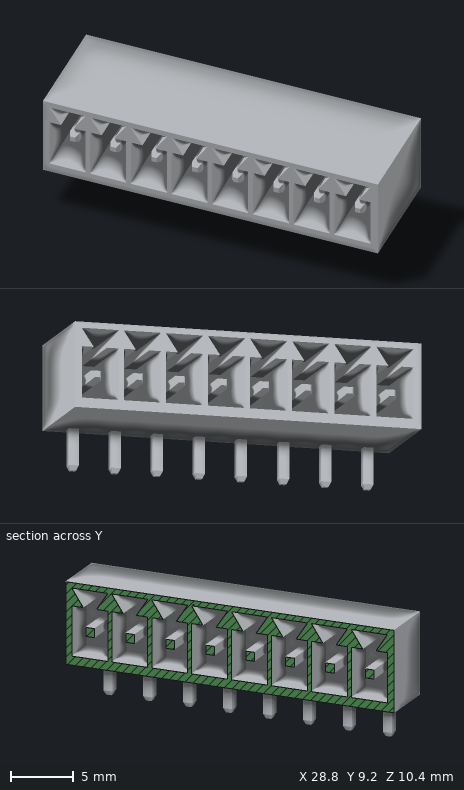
import cadquery as cq

HOUSING_LENGTH = 28.8
HOUSING_DEPTH = 9.2
HOUSING_HEIGHT = 7.0

CONTACT_COUNT = 8
PITCH = 3.5

PARTITION = 0.4
CAVITY_WIDTH = PITCH - PARTITION
CAVITY_OFFSET = -0.05
CAVITY_DEPTH = 7.0
FLOOR_THICKNESS = 0.8
ROOF_THICKNESS = 0.5
KEY_SLOT_HEIGHT = 1.5
KEY_NECK_WIDTH = 1.1

PIN_SIZE = 0.8
PIN_TIP_SIZE = 0.44
PIN_TIP_LENGTH = 0.4
PIN_AXIS_Z = 3.0
CONTACT_RECESS = 1.0
TAIL_LENGTH = 3.4
TAIL_FROM_BACK = 1.2

tail_y = HOUSING_DEPTH - TAIL_FROM_BACK
contact_xs = [(i - (CONTACT_COUNT - 1) / 2) * PITCH for i in range(CONTACT_COUNT)]


def make_housing():
    return cq.Workplane("XY").box(
        HOUSING_LENGTH, HOUSING_DEPTH, HOUSING_HEIGHT, centered=(True, False, False)
    )


def make_cavity(contact_x):
    """Void of one contact position, running back from the front face."""
    half_width = CAVITY_WIDTH / 2
    half_neck = KEY_NECK_WIDTH / 2
    roof_z = HOUSING_HEIGHT - ROOF_THICKNESS
    neck_z = roof_z - KEY_SLOT_HEIGHT
    x = contact_x + CAVITY_OFFSET
    outline = [
        (x - half_width, FLOOR_THICKNESS),
        (x + half_width, FLOOR_THICKNESS),
        (x + half_width, neck_z),
        (x + half_neck, neck_z),
        (x + half_width, roof_z),
        (x - half_width, roof_z),
        (x - half_neck, neck_z),
        (x - half_width, neck_z),
    ]
    return cq.Workplane("XZ").polyline(outline).close().extrude(-CAVITY_DEPTH)


def make_pin(tip_point, direction, length):
    """Square pin of the given length along direction, beginning with a tapered tip at tip_point."""
    plane = cq.Plane(origin=tip_point, xDir=(1, 0, 0), normal=direction)
    tip = (
        cq.Workplane(plane)
        .rect(PIN_TIP_SIZE, PIN_TIP_SIZE)
        .workplane(offset=PIN_TIP_LENGTH)
        .rect(PIN_SIZE, PIN_SIZE)
        .loft(ruled=True)
    )
    shank = (
        cq.Workplane(plane)
        .workplane(offset=PIN_TIP_LENGTH)
        .rect(PIN_SIZE, PIN_SIZE)
        .extrude(length - PIN_TIP_LENGTH)
    )
    return tip.union(shank)


def make_contact(x):
    """L-shaped contact: a horizontal mating pin and a vertical solder tail."""
    mating_pin = make_pin((x, CONTACT_RECESS, PIN_AXIS_Z), (0, 1, 0), tail_y - CONTACT_RECESS)
    solder_tail = make_pin((x, tail_y, -TAIL_LENGTH), (0, 0, 1), TAIL_LENGTH + PIN_AXIS_Z)
    return mating_pin.union(solder_tail)


result = make_housing()
for contact_x in contact_xs:
    result = result.cut(make_cavity(contact_x))
for contact_x in contact_xs:
    result = result.union(make_contact(contact_x))